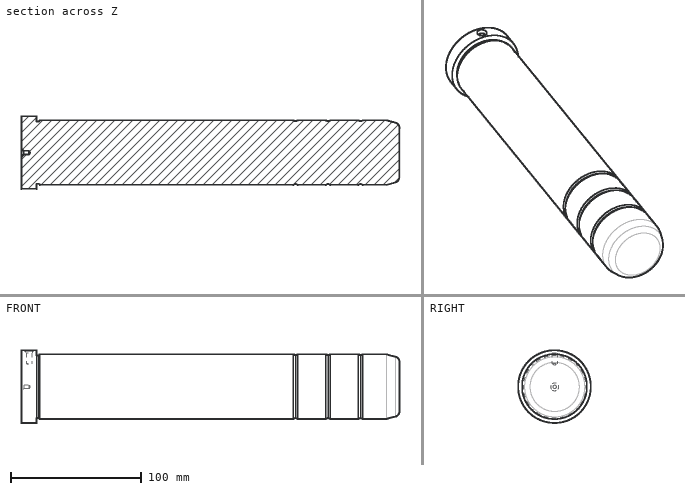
import cadquery as cq
import math

length = 290.0
head_diameter = 56.0
head_length = 11.5
shank_diameter = 50.0
head_radius = head_diameter / 2
shank_radius = shank_diameter / 2

relief_depth = 1.0
relief_floor_length = 1.7
relief_slope_length = 0.5

groove_count = 3
first_groove_x = 210.2
groove_pitch = 25.0
groove_width = 3.5
groove_depth = 1.0

taper_start_x = 279.8
taper_angle = math.radians(15)
tip_round = 4.4

centre_mouth_diameter = 6.0
centre_drill_diameter = 2.5
centre_drill_depth = 5.8

rim_mouth_diameter = 7.8
rim_drill_diameter = 4.0
rim_drill_depth = 10.2

drill_point_angle = math.radians(118)


def make_body():
    """Revolve the stepped outline with the head relief and tapered tip."""
    relief_radius = shank_radius - relief_depth
    relief_floor_end = head_length + relief_floor_length
    relief_end = relief_floor_end + relief_slope_length

    arc_x = length - tip_round
    tangent_x = arc_x + tip_round * math.sin(taper_angle)
    tangent_radius = shank_radius - (tangent_x - taper_start_x) * math.tan(taper_angle)
    arc_radius = tangent_radius - tip_round * math.cos(taper_angle)
    middle_angle = (math.pi / 2 - taper_angle) / 2
    arc_middle = (
        arc_x + tip_round * math.cos(middle_angle),
        arc_radius + tip_round * math.sin(middle_angle),
    )

    outline = (
        cq.Workplane("XY")
        .lineTo(0, head_radius)
        .lineTo(head_length, head_radius)
        .lineTo(head_length, relief_radius)
        .lineTo(relief_floor_end, relief_radius)
        .lineTo(relief_end, shank_radius)
        .lineTo(taper_start_x, shank_radius)
        .lineTo(tangent_x, tangent_radius)
        .threePointArc(arc_middle, (length, arc_radius))
        .lineTo(length, 0)
        .close()
    )
    return outline.revolve(360, (0, 0, 0), (1, 0, 0))


def make_ring_groove(x):
    """Ring with a triangular section whose point reaches the groove bottom."""
    half_width = groove_width
    outer_radius = shank_radius + groove_depth
    section = cq.Workplane("XY").polyline([
        (x - half_width, outer_radius),
        (x, shank_radius - groove_depth),
        (x + half_width, outer_radius),
    ]).close()
    return section.revolve(360, (0, 0, 0), (1, 0, 0))


def make_coned_hole(mouth, direction, mouth_diameter, drill_diameter, depth):
    """Blind hole with a 90 degree conical mouth and a drill-point bottom."""
    mouth_radius = mouth_diameter / 2
    drill_radius = drill_diameter / 2
    drill = cq.Solid.makeCylinder(drill_radius, depth, mouth, direction)
    cone_depth = mouth_radius - drill_radius
    cone = cq.Solid.makeCone(mouth_radius, drill_radius, cone_depth, mouth, direction)
    point_depth = drill_radius / math.tan(drill_point_angle / 2)
    point = cq.Solid.makeCone(drill_radius, 0, point_depth, mouth + direction * depth, direction)
    return drill.fuse(cone, point)


centre_hole = make_coned_hole(
    cq.Vector(0, 0, 0),
    cq.Vector(1, 0, 0),
    centre_mouth_diameter,
    centre_drill_diameter,
    centre_drill_depth,
)
rim_hole = make_coned_hole(
    cq.Vector(head_length / 2, 0, head_radius),
    cq.Vector(0, 0, -1),
    rim_mouth_diameter,
    rim_drill_diameter,
    rim_drill_depth,
)

result = make_body()
for index in range(groove_count):
    result = result.cut(make_ring_groove(first_groove_x + index * groove_pitch))
result = result.cut(centre_hole).cut(rim_hole)